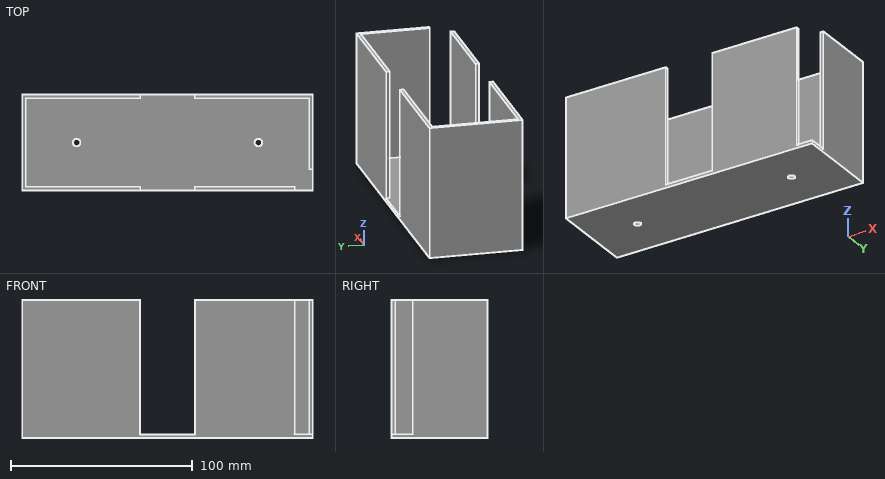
import cadquery as cq

length = 160.0
width = 53.0
height = 76.0
wall = 2.0

slot_width = 30.0

corner_length_x = 10.0
corner_length_y = 11.7

hole_diameter = 4.0
hole_spacing = 100.0

wall_height = height - wall


def box_above_floor(size_x, size_y):
    """Block centred on the floor, from its upper face to the rim."""
    block = cq.Workplane("XY").box(size_x, size_y, wall_height, centered=(True, True, False))
    return block.translate((0, 0, wall))


body = cq.Workplane("XY").box(length, width, height, centered=(True, True, False))
body = body.cut(box_above_floor(length - 2 * wall, width - 2 * wall))

body = body.cut(box_above_floor(slot_width, width))

corner = box_above_floor(corner_length_x, corner_length_y).translate(
    ((length - corner_length_x) / 2, (corner_length_y - width) / 2, 0)
)
body = body.cut(corner)

holes = (
    cq.Workplane("XY")
    .pushPoints([(-hole_spacing / 2, 0), (hole_spacing / 2, 0)])
    .circle(hole_diameter / 2)
    .extrude(wall)
)
result = body.cut(holes)